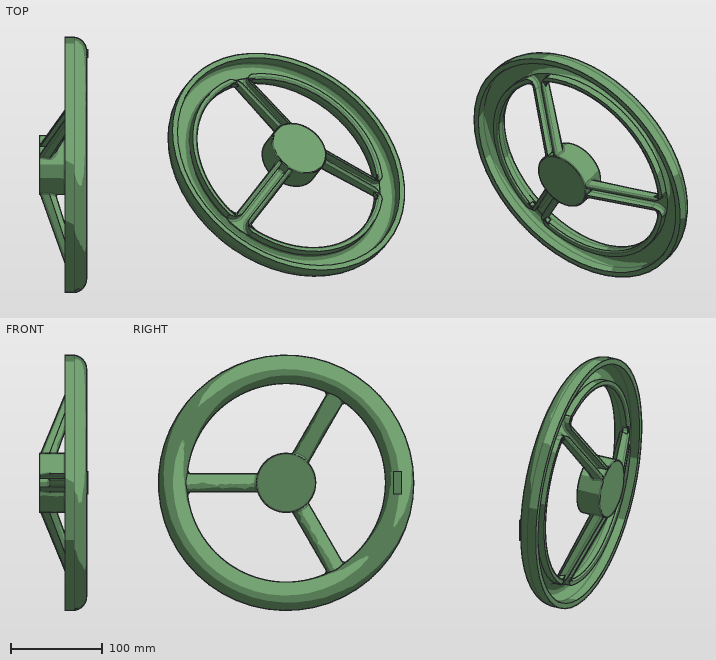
import cadquery as cq
import math


hub_diameter = 65.0
hub_radius = hub_diameter / 2
hub_length = 28.0
hub_edge_rounding = 1.0
hub_blank_allowance = 5.0
hub_seam_angle = 30.0
touching_distance = 0.001

rim_radius = 140.0
rim_width = 31.2
rim_wall = 6.0
rim_face_x = hub_length
rim_crest_x = 52.0
parting_x = 38.3
lip_x = 29.7
lip_rounding = 2.0
rim_inner_radius = rim_radius - rim_width
rim_middle_radius = rim_radius - rim_width / 2
crest_depth = rim_crest_x - parting_x
crest_arc_radius = ((rim_width / 2) ** 2 + crest_depth ** 2) / (2 * crest_depth)
crest_arc_x = rim_crest_x - crest_arc_radius
groove_outer_radius = rim_radius - rim_wall
groove_inner_radius = rim_inner_radius + rim_wall
groove_bottom_x = rim_crest_x - rim_wall
groove_side_x = crest_arc_x + math.sqrt(
    (crest_arc_radius - rim_wall) ** 2 - (rim_width / 2 - rim_wall) ** 2
)

spoke_count = 3
first_spoke_angle = 180.0
spoke_half_width = 10.0
spoke_top_half_width = 8.8
spoke_edge_rounding = 2.0
spoke_root_rounding = 1.6
spoke_hub_overlap = 2.5
spoke_rim_overlap = 1.0
spoke_start_radius = hub_radius - spoke_hub_overlap
spoke_end_radius = groove_inner_radius + spoke_rim_overlap
spoke_top_x = 1.2
spoke_floor_x = 11.4
spoke_back_x = 18.0
spoke_top_slope = 0.358
spoke_floor_slope = 0.33
spoke_back_slope = 0.31

channel_half_width = 4.75
channel_floor_rounding = 2.4
channel_flare_radius = 12.0
spoke_flare_radius = 6.5
flare_overrun = 0.3

pad_length = 25.0
pad_width = 9.0
pad_height = 1.5
pad_middle_y = 122.0


def line_x(start_x, slope, radius):
    """X of a sloping spoke line at a given distance from the wheel axis."""
    return start_x + slope * (radius - hub_radius)


def revolve_about_x(profile):
    return profile.close().revolve(360, (0, 0, 0), (1, 0, 0))


def make_rim():
    """Rim ring, with solid material where the groove will be cut."""
    profile = (
        cq.Workplane("XY")
        .moveTo(rim_face_x, groove_outer_radius)
        .lineTo(rim_face_x, rim_radius)
        .lineTo(parting_x, rim_radius)
        .threePointArc((rim_crest_x, rim_middle_radius), (parting_x, rim_inner_radius))
        .lineTo(lip_x + lip_rounding, rim_inner_radius)
        .radiusArc((lip_x, rim_inner_radius + lip_rounding), lip_rounding)
        .lineTo(lip_x, groove_inner_radius)
        .lineTo(groove_side_x, rim_middle_radius)
    )
    return revolve_about_x(profile)


def make_groove():
    """Cutter for the round-bottomed groove in the -X side of the rim."""
    profile = (
        cq.Workplane("XY")
        .moveTo(0, groove_outer_radius)
        .lineTo(groove_side_x, groove_outer_radius)
        .threePointArc((groove_bottom_x, rim_middle_radius), (groove_side_x, groove_inner_radius))
        .lineTo(0, groove_inner_radius)
    )
    return revolve_about_x(profile)


def spoke_section(radius):
    """Closed outline across a spoke that runs along +Y, as a wire at Y = radius."""
    top = line_x(spoke_top_x, spoke_top_slope, radius)
    side = line_x(spoke_floor_x, spoke_floor_slope, radius)
    back = line_x(spoke_back_x, spoke_back_slope, radius)
    flat = spoke_top_half_width - spoke_edge_rounding
    shoulder = top + spoke_edge_rounding
    section = (
        cq.Workplane("XZ", origin=(0, radius, 0))
        .moveTo(top, -flat)
        .lineTo(top, flat)
        .radiusArc((shoulder, spoke_top_half_width), spoke_edge_rounding)
        .lineTo(side, spoke_half_width)
        .threePointArc((back, 0), (side, -spoke_half_width))
        .lineTo(shoulder, -spoke_top_half_width)
        .radiusArc((top, -flat), spoke_edge_rounding)
        .close()
    )
    return section.val()


def make_spoke():
    sections = [spoke_section(spoke_start_radius), spoke_section(spoke_end_radius)]
    return cq.Workplane(cq.Solid.makeLoft(sections, True))


def flared_plan(half_width, flare_radius, outer_radius):
    """Outline along +Y, from the hub outwards, whose sides flare to touch a circle round the axis."""
    flare_distance = outer_radius - flare_radius
    flare_z = half_width + flare_radius
    flare_y = math.sqrt(flare_distance ** 2 - flare_z ** 2)
    tip_y = flare_y * outer_radius / flare_distance
    tip_z = flare_z * outer_radius / flare_distance
    side_angle = -math.pi / 2
    tip_angle = math.atan2(flare_z, flare_y)
    halfway_angle = (side_angle + tip_angle) / 2
    halfway_y = flare_y + flare_radius * math.cos(halfway_angle)
    halfway_z = flare_z + flare_radius * math.sin(halfway_angle)
    start_y = math.sqrt(hub_radius ** 2 - half_width ** 2)
    return (
        cq.Workplane("YZ")
        .moveTo(start_y, half_width)
        .lineTo(flare_y, half_width)
        .threePointArc((halfway_y, halfway_z), (tip_y, tip_z))
        .threePointArc((outer_radius, 0), (tip_y, -tip_z))
        .threePointArc((halfway_y, -halfway_z), (flare_y, -half_width))
        .lineTo(start_y, -half_width)
        .threePointArc((hub_radius, 0), (start_y, half_width))
        .close()
    )


def make_space_above_floor():
    """Wedge on the -X side of the sloping channel floor."""
    floor_start = line_x(spoke_floor_x, spoke_floor_slope, 0)
    floor_end = line_x(spoke_floor_x, spoke_floor_slope, rim_radius)
    return (
        cq.Workplane("XY")
        .moveTo(-rim_width, 0)
        .lineTo(floor_start, 0)
        .lineTo(floor_end, rim_radius)
        .lineTo(-rim_width, rim_radius)
        .close()
        .extrude(rim_width, both=True)
    )


def make_rim_corners():
    """Rounded corners between the spoke sides and the inside of the rim."""
    plan = flared_plan(spoke_top_half_width, spoke_flare_radius, rim_inner_radius + flare_overrun)
    block = plan.extrude(parting_x - lip_x).translate((lip_x, 0, 0))
    return block.intersect(make_space_above_floor())


def make_channel():
    """Cutter for the channel, with its floor and hub end rounded."""
    plan = flared_plan(channel_half_width, channel_flare_radius, groove_inner_radius + flare_overrun)
    channel = plan.extrude(2 * rim_face_x).intersect(make_space_above_floor())
    floor_edges = channel.faces(">X").edges("not >Y")
    return floor_edges.fillet(channel_floor_rounding)


def around_wheel(shape):
    """One copy of a +Y shape for every spoke."""
    copies = cq.Workplane("YZ")
    for index in range(spoke_count):
        angle = first_spoke_angle + index * 360 / spoke_count
        copies = copies.add(shape.rotate((0, 0, 0), (1, 0, 0), angle))
    return copies


def join(body, parts):
    for part in parts.vals():
        body = body.union(cq.Workplane(part))
    return body


def cut_all(body, parts):
    for part in parts.vals():
        body = body.cut(cq.Workplane(part))
    return body


def lies_on_hub(point):
    return abs(math.hypot(point.y, point.z) - hub_radius) < touching_distance


def is_spoke_root(edge):
    """True for an edge where a spoke meets the side of the hub."""
    on_hub = all(lies_on_hub(point) for point in edge.positions([0, 0.5, 1]))
    between_ends = 0 < edge.Center().x < hub_length - hub_edge_rounding
    return on_hub and between_ends and edge.geomType() != "LINE"


def make_hub_face_trim():
    """Cutter that leaves the hub face flat at X = 0, with a rounded edge."""
    profile = (
        cq.Workplane("XY")
        .moveTo(-hub_blank_allowance, 0)
        .lineTo(0, 0)
        .lineTo(0, hub_radius - hub_edge_rounding)
        .radiusArc((hub_edge_rounding, hub_radius), hub_edge_rounding)
        .lineTo(-hub_blank_allowance, hub_radius + hub_blank_allowance)
    )
    return revolve_about_x(profile)


def make_hub_with_spokes():
    """Hub and spokes in one body, with the spoke roots rounded."""
    blank = (
        cq.Workplane("YZ", origin=(-hub_blank_allowance, 0, 0))
        .circle(hub_radius)
        .extrude(hub_blank_allowance + hub_length)
        .rotate((0, 0, 0), (1, 0, 0), hub_seam_angle)
    )
    blank = blank.faces(">X").edges().fillet(hub_edge_rounding)
    body = join(blank, around_wheel(make_spoke()))
    roots = [edge for edge in body.edges().vals() if is_spoke_root(edge)]
    body = body.newObject(roots).fillet(spoke_root_rounding)
    return body.cut(make_hub_face_trim())


def make_pad():
    return (
        cq.Workplane("YZ", origin=(rim_crest_x + pad_height, 0, 0))
        .center(pad_middle_y, 0)
        .rect(pad_width, pad_length)
        .extrude(-pad_height - rim_wall / 2)
    )


wheel = make_hub_with_spokes().union(make_rim())
wheel = join(wheel, around_wheel(make_rim_corners()))
wheel = wheel.cut(make_groove())
wheel = cut_all(wheel, around_wheel(make_channel()))
result = wheel.union(make_pad())